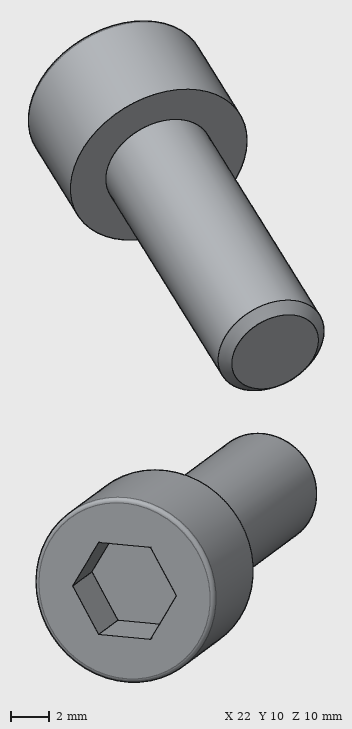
import cadquery as cq
import math

total_length = 22.0
head_diameter = 10.0
head_length = 6.0
head_edge_radius = 0.25
shank_diameter = 6.0
tip_chamfer = 0.55
socket_across_flats = 5.0
socket_depth = 3.0


def make_head():
    """Cylindrical head with a rounded rim around its outer face."""
    head = cq.Workplane("YZ").circle(head_diameter / 2).extrude(head_length)
    return head.faces("<X").edges().fillet(head_edge_radius)


def make_shank():
    """Plain shank with a chamfered tip."""
    shank_length = total_length - head_length
    shank = cq.Workplane("YZ", origin=(head_length, 0, 0)).circle(shank_diameter / 2).extrude(shank_length)
    return shank.faces(">X").edges().chamfer(tip_chamfer)


def make_socket():
    """Hexagonal key socket with two flats facing up and down."""
    across_corners = socket_across_flats / math.cos(math.pi / 6)
    return cq.Workplane("YZ").polygon(6, across_corners).extrude(socket_depth)


result = make_head().union(make_shank()).cut(make_socket())